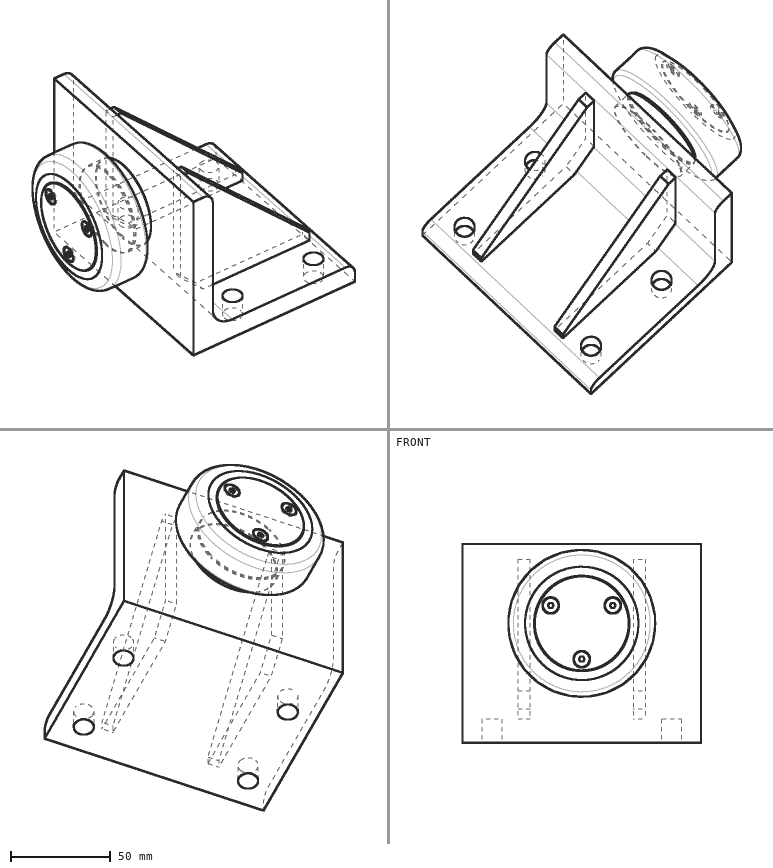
import cadquery as cq
import math

arc_midpoint = math.sqrt(0.5)

width = 120.0
depth = 100.0
height = 100.0
wall = 12.0
tip_radius = 6.0
corner_radius = 12.0

hole_diameter = 10.11
hole_side_margin = 15.0
hole_rows_y = (35.0, 85.0)

rib_thickness = 6.0
rib_start = 28.0
rib_reach = 80.0
rib_land = 5.0
rib_corner_cut = 14.0

roller_x = width / 2
roller_z = 60.0
roller_diameter = 73.8
roller_back = 10.7
roller_front = 33.8
back_fillet = 2.0
front_fillet = 3.8
front_face_radius = 28.5
cone_angle = math.radians(20.0)
crown_radius = 500.0
pin_diameter = 48.0
pin_chamfer = 0.4
hub_length = 10.0
core_diameter = 47.0
cap_front = 34.2

screw_count = 3
screw_circle_radius = 18.0
screw_recess_diameter = 8.3
screw_head_diameter = 7.8
screw_gap_depth = 1.0
socket_width = 2.5
socket_depth = 1.5
socket_sides = 6


def make_angle():
    """L-shaped profile with rounded tips and a filleted inner corner."""
    inner_end = wall + corner_radius
    tip_arc = tip_radius * arc_midpoint
    corner_arc = corner_radius * (1 - arc_midpoint)
    base_center = (depth - tip_radius, wall - tip_radius)
    wall_center = (wall - tip_radius, height - tip_radius)
    return (
        cq.Workplane("YZ")
        .lineTo(depth, 0)
        .lineTo(depth, base_center[1])
        .threePointArc(
            (base_center[0] + tip_arc, base_center[1] + tip_arc),
            (base_center[0], wall),
        )
        .lineTo(inner_end, wall)
        .threePointArc((wall + corner_arc, wall + corner_arc), (wall, inner_end))
        .lineTo(wall, wall_center[1])
        .threePointArc(
            (wall_center[0] + tip_arc, wall_center[1] + tip_arc),
            (wall_center[0], height),
        )
        .lineTo(0, height)
        .close()
        .extrude(width)
    )


def cut_mounting_holes(body):
    """Four through holes in the base leg."""
    columns_x = (hole_side_margin, width - hole_side_margin)
    points = [(x, y) for x in columns_x for y in hole_rows_y]
    holes = cq.Workplane("XY").pushPoints(points).circle(hole_diameter / 2).extrude(wall)
    return body.cut(holes)


def make_rib(start_x):
    """Gusset with its inner corner cut off, clear of the bracket fillet."""
    far = wall + rib_reach
    land = wall + rib_land
    corner = wall + rib_corner_cut
    outline = [
        (corner, wall),
        (far, wall),
        (far, land),
        (land, far),
        (wall, far),
        (wall, corner),
    ]
    return cq.Workplane("YZ", origin=(start_x, 0, 0)).polyline(outline).close().extrude(rib_thickness)


def roller_plane(distance):
    """Plane facing forward, centred on the roller axis at a distance from the wall."""
    return cq.Workplane("XZ", origin=(roller_x, -distance, roller_z))


def make_disc(diameter, start, end):
    return roller_plane(start).circle(diameter / 2).extrude(end - start)


def make_roller():
    """Crowned roller with a filleted back edge and a conical front shoulder."""
    edge_radius = roller_diameter / 2
    cone_start_radius = edge_radius - front_fillet * (1 - math.sin(cone_angle))
    cone_start = roller_front - (cone_start_radius - front_face_radius) * math.tan(cone_angle)
    front_center = (
        edge_radius - front_fillet,
        cone_start - front_fillet * math.cos(cone_angle),
    )
    arc_middle = (math.pi / 2 - cone_angle) / 2
    crown_start = roller_back + back_fillet
    crown_end = front_center[1]
    half_crown = (crown_end - crown_start) / 2
    crown_rise = crown_radius - math.sqrt(crown_radius**2 - half_crown**2)
    back_arc = back_fillet * (1 - arc_midpoint)
    profile = (
        cq.Workplane(cq.Plane(origin=(roller_x, 0, roller_z), xDir=(1, 0, 0), normal=(0, 0, 1)))
        .moveTo(0, -roller_back)
        .lineTo(edge_radius - back_fillet, -roller_back)
        .threePointArc(
            (edge_radius - back_arc, -roller_back - back_arc),
            (edge_radius, -crown_start),
        )
        .threePointArc(
            (edge_radius + crown_rise, -(crown_start + half_crown)),
            (edge_radius, -crown_end),
        )
        .threePointArc(
            (
                front_center[0] + front_fillet * math.cos(arc_middle),
                -(front_center[1] + front_fillet * math.sin(arc_middle)),
            ),
            (cone_start_radius, -cone_start),
        )
        .lineTo(front_face_radius, -roller_front)
        .lineTo(0, -roller_front)
        .close()
    )
    return profile.revolve(360, (0, 0, 0), (0, 1, 0))


def make_pin():
    """Hub behind the roller, a narrower core and the cap in front of it."""
    hub = make_disc(pin_diameter, 0, hub_length).edges().chamfer(pin_chamfer)
    core = make_disc(core_diameter, 0, roller_front)
    cap = make_disc(pin_diameter, roller_back, cap_front).faces("<Y").edges().chamfer(pin_chamfer)
    return hub.union(core).union(cap)


def cut_screws(body):
    """Annular gap around each flush screw head, and its hexagon socket."""
    socket_corner_diameter = socket_width / math.cos(math.pi / socket_sides)
    for index in range(screw_count):
        angle = -math.pi / 2 + index * 2 * math.pi / screw_count
        center = (
            screw_circle_radius * math.cos(angle),
            screw_circle_radius * math.sin(angle),
        )
        gap = (
            roller_plane(cap_front)
            .center(*center)
            .circle(screw_recess_diameter / 2)
            .circle(screw_head_diameter / 2)
            .extrude(-screw_gap_depth)
        )
        socket = (
            roller_plane(cap_front)
            .center(*center)
            .polygon(socket_sides, socket_corner_diameter)
            .extrude(-socket_depth)
        )
        body = body.cut(gap).cut(socket)
    return body


bracket = cut_mounting_holes(make_angle())
for rib_x in (rib_start, width - rib_start - rib_thickness):
    bracket = bracket.union(make_rib(rib_x))

bearing = cut_screws(make_roller().union(make_pin()))
result = bracket.union(bearing)